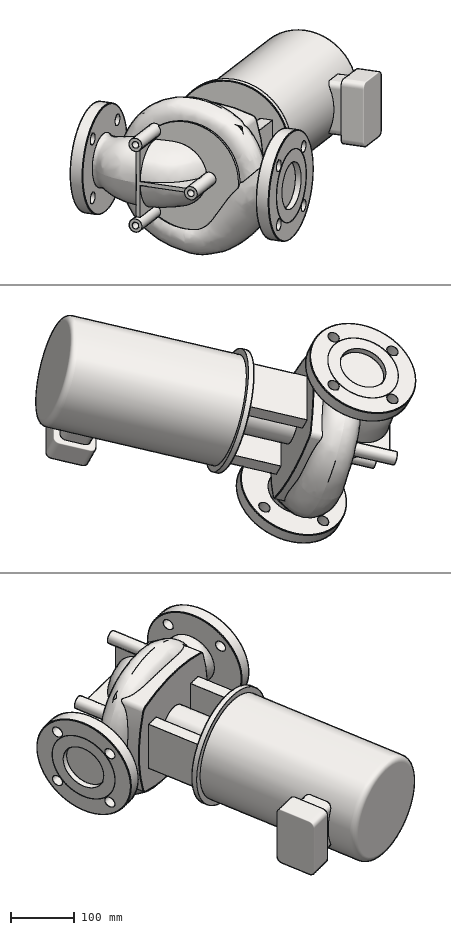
import cadquery as cq
import math


BARREL_RADIUS = 90.0
BARREL_END_Y = 458.0
BARREL_ROUND = 10.0
PLATE_RADIUS = 100.0
PLATE_TOP_Y = 166.5
PLATE_THICKNESS = 10.0
EDGE_CHAMFER = 1.0

BOX_CENTER_Y = 382.5
BOX_INNER_X = 106.0
BOX_DEPTH_X = 40.0
BOX_LENGTH_Y = 71.0
BOX_HEIGHT_Z = 108.5
BOX_NECK_INSET = 10.0
BOX_CORNER_RADIUS = 10.0
BOX_EDGE_ROUND = 1.5

SHAFT_RADIUS = 30.5
LEG_INNER_X = 50.0
LEG_THICKNESS = 21.5
LEG_WIDTH_Z = 89.5

COVER_TOP_Y = 57.5
COVER_BOTTOM_Y = 0.5
COVER_HALF_WIDTH = 99.5
COVER_CORNER_REACH = 85.0
COVER_CORNER_RADIUS = 12.0

VOLUTE_PLANE_Y = 10.0
FACE_Y = -21.5
FACE_RADIUS = 89.5

FLANGE_OUTER_X = 171.5
FLANGE_THICKNESS = 22.5
FLANGE_RADIUS = 89.0
RAISED_FACE_RADIUS = 59.0
RAISED_FACE_HEIGHT = 0.5
BORE_RADIUS = 38.0
BORE_DEPTH = 10.0
BOLT_CIRCLE_RADIUS = 70.0
BOLT_HOLE_RADIUS = 9.5
BOLT_COUNT = 4

FOOT_END_Y = -96.0
FOOT_RADIUS = 11.0
FOOT_HOLE_RADIUS = 5.5
FOOT_HOLE_DEPTH = 20.0
FOOT_PAIR_X = -55.5
FOOT_PAIR_Z = 67.5
FRONT_FOOT_X = 40.0
RIB_END_Y = -86.0
RIB_THICKNESS = 6.5

PLATE_BOTTOM_Y = PLATE_TOP_Y - PLATE_THICKNESS
FLANGE_INNER_X = FLANGE_OUTER_X - FLANGE_THICKNESS


def cylinder_y(radius, start_y, end_y, x=0, z=0):
    """A cylinder along Y."""
    axis = cq.Vector(0, 1, 0)
    return cq.Workplane(cq.Solid.makeCylinder(radius, end_y - start_y, cq.Vector(x, start_y, z), axis))


def box_between(x_range, y_range, z_range):
    """A block given by its limits along X, Y and Z."""
    corner = cq.Vector(x_range[0], y_range[0], z_range[0])
    sizes = [limits[1] - limits[0] for limits in (x_range, y_range, z_range)]
    return cq.Workplane(cq.Solid.makeBox(*sizes, corner))


def circle_wire(radius, center, normal):
    return cq.Wire.makeCircle(radius, cq.Vector(*center), cq.Vector(*normal))


def make_barrel():
    barrel = cylinder_y(BARREL_RADIUS, PLATE_TOP_Y, BARREL_END_Y)
    return barrel.faces(">Y").edges().fillet(BARREL_ROUND)


def make_plate():
    plate = cylinder_y(PLATE_RADIUS, PLATE_BOTTOM_Y, PLATE_TOP_Y)
    return plate.faces("<Y").edges().chamfer(EDGE_CHAMFER)


def make_terminal_box(barrel):
    outer_x = BOX_INNER_X + BOX_DEPTH_X
    half_y = BOX_LENGTH_Y / 2
    half_z = BOX_HEIGHT_Z / 2
    box = box_between(
        (BOX_INNER_X, outer_x),
        (BOX_CENTER_Y - half_y, BOX_CENTER_Y + half_y),
        (-half_z, half_z),
    )
    box = box.edges("|X").fillet(BOX_CORNER_RADIUS)
    box = box.faces("<X or >X").edges().fillet(BOX_EDGE_ROUND)
    neck_half_y = half_y - BOX_NECK_INSET
    neck_half_z = half_z - BOX_NECK_INSET
    neck = box_between(
        (BARREL_RADIUS / 2, BOX_INNER_X),
        (BOX_CENTER_Y - neck_half_y, BOX_CENTER_Y + neck_half_y),
        (-neck_half_z, neck_half_z),
    )
    neck = neck.edges("|X").fillet(BOX_CORNER_RADIUS)
    return box.union(neck.cut(barrel))


def make_shaft():
    return cylinder_y(SHAFT_RADIUS, COVER_TOP_Y, PLATE_BOTTOM_Y)


def make_leg(side):
    inner_x = side * LEG_INNER_X
    outer_x = side * (LEG_INNER_X + LEG_THICKNESS)
    x_range = (min(inner_x, outer_x), max(inner_x, outer_x))
    return box_between(x_range, (COVER_TOP_Y, PLATE_BOTTOM_Y), (-LEG_WIDTH_Z / 2, LEG_WIDTH_Z / 2))


def make_cover():
    half = COVER_HALF_WIDTH
    reach = COVER_CORNER_REACH
    cover = (
        cq.Workplane("XZ", origin=(0, COVER_TOP_Y, 0))
        .moveTo(-reach, reach)
        .threePointArc((0, half), (reach, reach))
        .threePointArc((half, 0), (reach, -reach))
        .threePointArc((0, -half), (-reach, -reach))
        .threePointArc((-half, 0), (-reach, reach))
        .close()
        .extrude(COVER_TOP_Y - COVER_BOTTOM_Y)
        .edges("|Y")
        .fillet(COVER_CORNER_RADIUS)
    )
    return cover.faces(">Y").edges().chamfer(EDGE_CHAMFER)


VOLUTE_STATIONS = [
    (0, 96.0, 26.5, 26.5, 10.0),
    (45, 92.5, 27.0, 27.0, 10.0),
    (90, 91.5, 27.5, 27.5, 10.0),
    (135, 94.0, 29.0, 29.0, 10.0),
    (180, 97.5, 29.5, 31.0, 9.5),
    (225, 103.0, 30.0, 33.0, 9.5),
    (270, 107.5, 30.0, 36.5, 8.5),
]
DISCHARGE_STATIONS = [
    (53.0, -89.5, 34, 34.0, 37.5, 8.0),
    (88.0, -52.0, 48, 38.0, 39.0, 5.5),
    (FLANGE_INNER_X, -4.5, 0, 42.5, 42.5, 0.5),
]


def ellipse_wire(half_width, half_y, center, normal):
    """An elliptic section with one axis along Y; its seam is on the outer side of the spiral."""
    normal = cq.Vector(*normal)
    outward = cq.Vector(0, 1, 0).cross(normal)
    return cq.Wire.makeEllipse(half_width, half_y, cq.Vector(*center), normal, outward)


def volute_section(angle, distance, half_width, half_y, center_y):
    angle = math.radians(angle)
    cosine = math.cos(angle)
    sine = math.sin(angle)
    return ellipse_wire(half_width, half_y, (distance * cosine, center_y, distance * sine), (-sine, 0, cosine))


def discharge_section(x, z, rise, half_width, half_y, center_y):
    rise = math.radians(rise)
    return ellipse_wire(half_width, half_y, (x, center_y, z), (math.cos(rise), 0, math.sin(rise)))


def make_volute():
    spiral = [volute_section(*station) for station in VOLUTE_STATIONS]
    return cq.Workplane(cq.Solid.makeLoft(spiral))


def make_discharge():
    sections = [volute_section(*VOLUTE_STATIONS[-1])]
    sections += [discharge_section(*station) for station in DISCHARGE_STATIONS]
    return cq.Workplane(cq.Solid.makeLoft(sections))


INLET_END_RADIUS = 44.5
INLET_END_Y = -6.5
INLET_SLOPE = -22
INLET_MIDDLE_RADIUS = 47.0
INLET_MIDDLE_CENTER = (-113.5, -20.0, 0)
ELBOW_PIVOT = (-62.0, 24.0)
ELBOW_RADIUS = 54.0
ELBOW_PIVOT_GAP = 0.5
ELBOW_FAN_ANGLES = (-105, -78, -50, -20)


def make_inlet():
    wires = [circle_wire(INLET_END_RADIUS, (-FLANGE_INNER_X, INLET_END_Y, 0), (1, 0, 0))]
    slope = math.radians(INLET_SLOPE)
    wires.append(circle_wire(INLET_MIDDLE_RADIUS, INLET_MIDDLE_CENTER, (math.cos(slope), math.sin(slope), 0)))
    for angle in ELBOW_FAN_ANGLES:
        cosine = math.cos(math.radians(angle))
        sine = math.sin(math.radians(angle))
        reach = ELBOW_RADIUS + ELBOW_PIVOT_GAP
        center = (ELBOW_PIVOT[0] + reach * cosine, ELBOW_PIVOT[1] + reach * sine, 0)
        wires.append(circle_wire(ELBOW_RADIUS, center, (-sine, cosine, 0)))
    return cq.Workplane(cq.Solid.makeLoft(wires))


def add_feet(casing):
    positions = [(FOOT_PAIR_X, FOOT_PAIR_Z), (FOOT_PAIR_X, -FOOT_PAIR_Z), (FRONT_FOOT_X, 0)]
    half = RIB_THICKNESS / 2
    rib_y = (RIB_END_Y, VOLUTE_PLANE_Y)
    casing = casing.union(
        box_between((FOOT_PAIR_X - half, FOOT_PAIR_X + half), rib_y, (-FOOT_PAIR_Z, FOOT_PAIR_Z))
    )
    casing = casing.union(box_between((FOOT_PAIR_X, FRONT_FOOT_X), rib_y, (-half, half)))
    for x, z in positions:
        casing = casing.union(cylinder_y(FOOT_RADIUS, FOOT_END_Y, VOLUTE_PLANE_Y, x, z))
    for x, z in positions:
        casing = casing.cut(cylinder_y(FOOT_HOLE_RADIUS, FOOT_END_Y, FOOT_END_Y + FOOT_HOLE_DEPTH, x, z))
    return casing


def make_casing(cover):
    casing = cylinder_y(FACE_RADIUS, FACE_Y, VOLUTE_PLANE_Y)
    casing = casing.union(make_volute()).union(make_discharge()).union(make_inlet())
    casing = add_feet(casing)
    return casing.cut(cover)


def make_flange(side):
    """A pipe flange whose sealing face points to the -X side (-1) or the +X side (+1)."""
    body_thickness = FLANGE_THICKNESS - RAISED_FACE_HEIGHT
    flange = (
        cq.Workplane("YZ", origin=(FLANGE_INNER_X, 0, 0))
        .circle(FLANGE_RADIUS)
        .extrude(body_thickness)
        .edges()
        .chamfer(EDGE_CHAMFER)
        .faces(">X")
        .workplane()
        .circle(RAISED_FACE_RADIUS)
        .extrude(RAISED_FACE_HEIGHT)
        .faces(">X")
        .workplane()
        .circle(BORE_RADIUS)
        .cutBlind(-BORE_DEPTH)
        .faces("<X")
        .workplane()
        .polarArray(BOLT_CIRCLE_RADIUS, 180 / BOLT_COUNT, 360, BOLT_COUNT)
        .circle(BOLT_HOLE_RADIUS)
        .cutThruAll()
    )
    if side < 0:
        flange = flange.rotate((0, 0, 0), (0, 0, 1), 180)
    return flange


barrel = make_barrel()
plate = make_plate()
terminal_box = make_terminal_box(barrel)
shaft = make_shaft()
legs = [make_leg(side) for side in (-1, 1)]
cover = make_cover()
casing = make_casing(cover)
flanges = [make_flange(side) for side in (-1, 1)]

result = cq.Compound.makeCompound(
    [barrel.val(), plate.val(), terminal_box.val(), shaft.val()]
    + [leg.val() for leg in legs]
    + [cover.val(), *casing.vals()]
    + [flange.val() for flange in flanges]
)